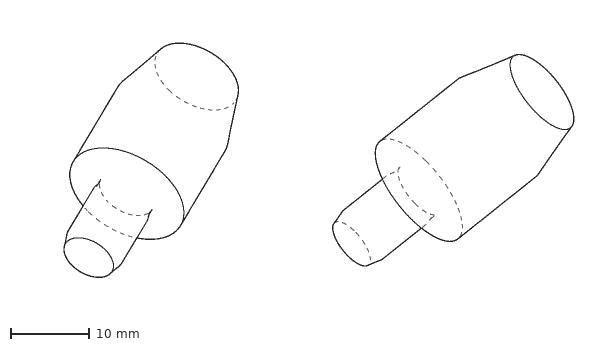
import cadquery as cq
import math

total_length = 34.0
head_length = 22.0
head_diameter = 16.0
nose_length = 8.0
shank_diameter = 8.02
tip_length = 2.0
taper_angle = math.radians(15)

groove_diameter = 7.6
groove_length = 2.1
recess_diameter = 9.6
recess_depth = 0.1
root_radius = 0.2

head_radius = head_diameter / 2
shank_radius = shank_diameter / 2
groove_radius = groove_diameter / 2
shank_end = head_length - total_length
nose_radius = head_radius - nose_length * math.tan(taper_angle)
tip_radius = shank_radius - tip_length * math.tan(taper_angle)
groove_taper_length = (shank_radius - groove_radius) / math.tan(taper_angle)

root_center_radius = groove_radius + root_radius
root_center_y = recess_depth - root_radius
root_mid_offset = root_radius * math.sin(math.radians(45))

profile = (
    cq.Workplane("XY")
    .moveTo(0, shank_end)
    .lineTo(tip_radius, shank_end)
    .lineTo(shank_radius, shank_end + tip_length)
    .lineTo(shank_radius, -groove_length)
    .lineTo(groove_radius, -groove_length + groove_taper_length)
    .lineTo(groove_radius, root_center_y)
    .threePointArc(
        (root_center_radius - root_mid_offset, root_center_y + root_mid_offset),
        (root_center_radius, recess_depth),
    )
    .lineTo(recess_diameter / 2, 0)
    .lineTo(head_radius, 0)
    .lineTo(head_radius, head_length - nose_length)
    .lineTo(nose_radius, head_length)
    .lineTo(0, head_length)
    .close()
)

result = profile.revolve(360, (0, 0, 0), (0, 1, 0))